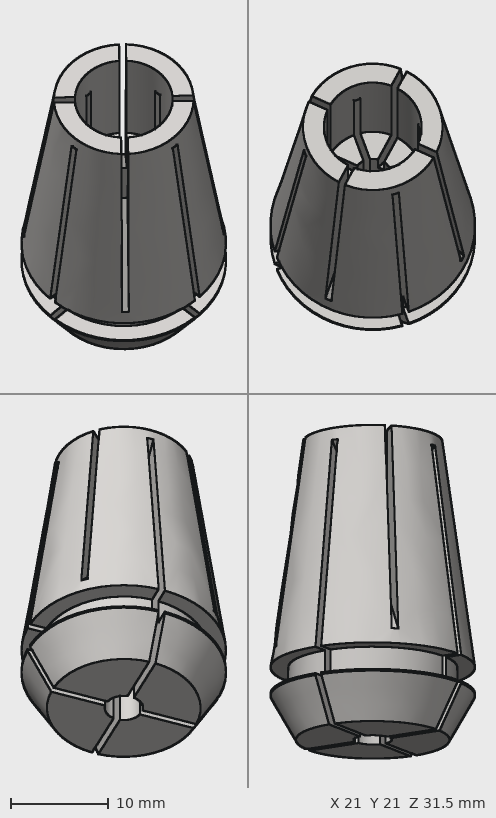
import cadquery as cq

length = 31.5
max_radius = 10.5
top_radius = 7.15
nose_radius = 7.88

rim_bottom = 4.65
groove_bottom = 4.85
groove_top = 7.65
groove_radius = 8.65

bore_radius = 1.95
counterbore_radius = 5.0
counterbore_depth = 11.97

slot_width = 0.7
lower_slot_top = 30.18
upper_slot_bottom = 9.25
clearance = 1.58


def taper_radius(z):
    """Radius of the long taper at height z."""
    fraction = (z - groove_top) / (length - groove_top)
    return max_radius + fraction * (top_radius - max_radius)


def make_body():
    profile = [
        (0, 0),
        (nose_radius, 0),
        (max_radius, rim_bottom),
        (max_radius, groove_bottom),
        (groove_radius, groove_bottom),
        (groove_radius, groove_top),
        (max_radius, groove_top),
        (top_radius, length),
        (0, length),
    ]
    body = cq.Workplane("XZ").polyline(profile).close().revolve(360, (0, 0), (0, 1))
    return body.faces(">Z").workplane().cboreHole(2 * bore_radius, 2 * counterbore_radius, counterbore_depth)


def make_slot(outline, angle):
    """Plate cutter for one radial slot, turned about Z."""
    plate = cq.Workplane("XZ").polyline(outline).close().extrude(slot_width / 2, both=True)
    return plate.rotate((0, 0, 0), (0, 0, 1), angle)


outer = max_radius + clearance

lower_roof_at_axis = lower_slot_top - taper_radius(lower_slot_top)
lower_outline = [
    (0, -clearance),
    (outer, -clearance),
    (outer, lower_roof_at_axis + outer),
    (0, lower_roof_at_axis),
]

upper_floor_at_axis = upper_slot_bottom + taper_radius(upper_slot_bottom)
upper_outline = [
    (0, upper_floor_at_axis),
    (outer, upper_floor_at_axis - outer),
    (outer, length + clearance),
    (0, length + clearance),
]

result = make_body()
for angle in (0, 90, 180, 270):
    result = result.cut(make_slot(lower_outline, angle))
    result = result.cut(make_slot(upper_outline, angle + 45))